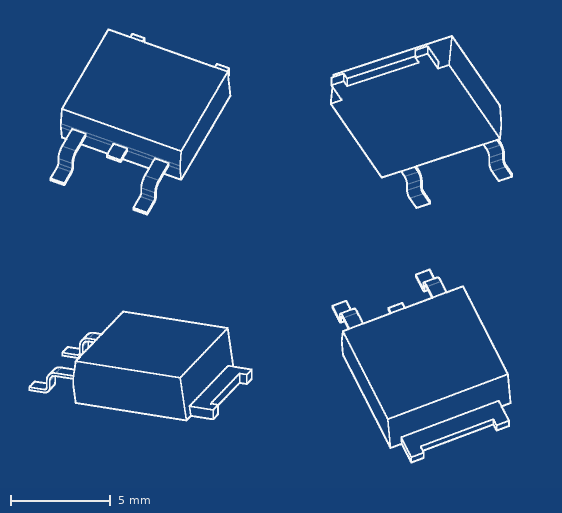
import cadquery as cq


body_width = 6.58
body_height = 2.3
body_front = 2.61
front_draft = 0.14
body_back = 8.71
back_draft = 0.34
front_band_top = 1.29

overall_length = 9.91
tab_width = 5.35
tab_thickness = 0.53
notch_width = 3.98
notch_depth = 0.4
tab_embed = 0.99

lead_width = 0.76
lead_thickness = 0.17
lead_pitch = 4.57
lead_bottom = 1.0
lead_top = lead_bottom + lead_thickness
lead_embed = 0.5
lead_root = body_front + lead_embed
riser_front = 0.94
riser_back = riser_front + lead_thickness
upper_inner_radius = 0.3
upper_outer_radius = upper_inner_radius + lead_thickness
foot_inner_radius = 0.13
foot_outer_radius = foot_inner_radius + lead_thickness
centre_lead_tip = 1.79


def side_sketch(width):
    """YZ workplane placed so a positive extrusion of width is centred on X."""
    return cq.Workplane("YZ", origin=(-width / 2, 0, 0))


def make_body():
    profile = [
        (body_front + front_draft, 0),
        (body_front, lead_bottom),
        (body_front, front_band_top),
        (body_front + front_draft, body_height),
        (body_back - back_draft, body_height),
        (body_back, 0),
    ]
    return side_sketch(body_width).polyline(profile).close().extrude(body_width)


def make_tab():
    tab_start = body_back - tab_embed
    notch_start = overall_length - notch_depth
    tab = cq.Workplane("XY").box(
        tab_width, overall_length - tab_start, tab_thickness, centered=(True, False, False)
    ).translate((0, tab_start, 0))
    notch = cq.Workplane("XY").box(
        notch_width, notch_depth, tab_thickness, centered=(True, False, False)
    ).translate((0, notch_start, 0))
    return tab.cut(notch)


def make_bent_lead():
    return (
        side_sketch(lead_width)
        .moveTo(0, 0)
        .lineTo(riser_back - foot_outer_radius, 0)
        .radiusArc((riser_back, foot_outer_radius), -foot_outer_radius)
        .lineTo(riser_back, lead_bottom - upper_inner_radius)
        .radiusArc((riser_back + upper_inner_radius, lead_bottom), upper_inner_radius)
        .lineTo(lead_root, lead_bottom)
        .lineTo(lead_root, lead_top)
        .lineTo(riser_front + upper_outer_radius, lead_top)
        .radiusArc((riser_front, lead_top - upper_outer_radius), -upper_outer_radius)
        .lineTo(riser_front, lead_thickness + foot_inner_radius)
        .radiusArc((riser_front - foot_inner_radius, lead_thickness), foot_inner_radius)
        .lineTo(0, lead_thickness)
        .close()
        .extrude(lead_width)
    )


def make_centre_lead():
    return cq.Workplane("XY").box(
        lead_width, lead_root - centre_lead_tip, lead_thickness, centered=(True, False, False)
    ).translate((0, centre_lead_tip, lead_bottom))


result = make_body().union(make_tab()).union(make_centre_lead())
for side in (-1, 1):
    result = result.union(make_bent_lead().translate((side * lead_pitch / 2, 0, 0)))

result = result.translate((0, -overall_length / 2, 0))